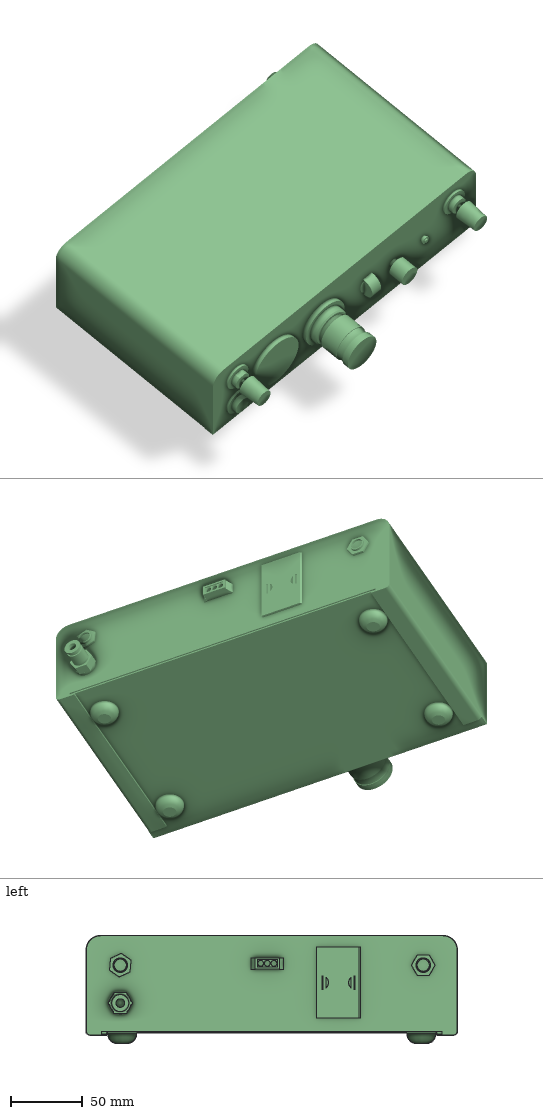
import cadquery as cq

CASE_DEPTH = 155.0
CASE_WIDTH = 258.5
CASE_HEIGHT = 69.5
TOP_RADIUS = 10.0
LIP_RADIUS = 3.0
LIP_WIDTH = 14.2
LIP_THICKNESS = 1.0
LIP_END = 146.5
FLOOR_Z = 1.8
FRONT_EDGE_RADIUS = 1.0

REAR_NOTCH_WIDTH = 237.2
REAR_NOTCH_TOP = 2.8
REAR_NOTCH_DEPTH = 1.0

FOOT_DIAMETER = 20.2
FOOT_DROP = 5.7
FOOT_SHOULDER_Z = 1.0
FOOT_TIP_DIAMETER = 9.3
FOOT_BULGE_DIAMETER = 17.3
FOOT_BULGE_Z = -3.0
FOOT_X = (25.8, 129.2)
FOOT_Y = 104.1

REAR_FITTING_Y = 105.5
REAR_NUT_Z = 48.8
REAR_NUT_CORNERS = 16.5
REAR_NUT_THICKNESS = 1.8
REAR_NUT_TURN = 25.0
REAR_BUSH_DIAMETER = 10.0
REAR_BUSH_BORE = 8.5
REAR_BUSH_LENGTH = 3.4

COUPLING_Z = 22.5
COUPLING_LENGTH = 22.7
COUPLING_DIAMETER = 12.0
COUPLING_BORE = 6.0
COUPLING_BORE_DEPTH = 7.8
COUPLING_GROOVE_DIAMETER = 10.0
COUPLING_GROOVE_START = 19.0
COUPLING_GROOVE_END = 21.0
COUPLING_HEX_CORNERS = 17.0
COUPLING_HEX_END = 9.0
COUPLING_WASHER_DIAMETER = 15.0
COUPLING_WASHER_LENGTH = 2.3

SOCKET_Y = 3.0
SOCKET_Z = 50.1
SOCKET_HEIGHT = 7.8
SOCKET_LENGTH = 7.2
SOCKET_WIDTH = 17.0
SOCKET_EAR_LENGTH = 6.0
SOCKET_EAR_WIDTH = 2.8
SOCKET_EAR_BOTTOM = 46.0
SOCKET_EAR_HEIGHT = 8.0
SOCKET_RECESS_WIDTH = 14.0
SOCKET_RECESS_HEIGHT = 5.2
SOCKET_RECESS_DEPTH = 0.8
SOCKET_PIN_HOLE = 4.1
SOCKET_PIN_PITCH = 4.7
SOCKET_PIN_DEPTH = 2.5

INLET_Y = -46.5
INLET_Z = 36.7
INLET_WIDTH = 30.5
INLET_HEIGHT = 49.4
INLET_THICKNESS = 1.8
INLET_CHAMFER = 1.0
GRIP_DEPTH = 0.8
GRIP_SLIT_OFFSET = 11.0
GRIP_SLIT_WIDTH = 0.8
GRIP_SLIT_HEIGHT = 9.3
GRIP_CHORD_OFFSET = 8.8
GRIP_CHORD_HEIGHT = 7.2
GRIP_TIP_OFFSET = 7.0

KNOB_Y = 106.5
KNOB_Z = 50.1
LOWER_BUSH_Z = 21.0
WASHER_DIAMETER = 20.2
WASHER_THICKNESS = 1.8
BUSH_DIAMETER = 13.0
BUSH_END = 6.2
BUSH_FLATS = 11.5
KNOB_STEM_DIAMETER = 3.0
KNOB_START = 10.9
KNOB_END = 27.5
KNOB_BASE_DIAMETER = 15.0
KNOB_TIP_DIAMETER = 13.0

CENTRE_Z = 34.4

LED_Y = 77.3
LED_STEM_DIAMETER = 5.0
LED_STEM_END = 1.3
LED_RIM_DIAMETER = 6.0
LED_RIM_END = 2.5
LED_TIP_DIAMETER = 3.0
LED_TIP_END = 3.5

DIAL_Y = 47.5
DIAL_STEM_DIAMETER = 7.0
DIAL_START = 4.1
DIAL_END = 16.5
DIAL_DIAMETER = 15.0

SWITCH_Y = 22.5
SWITCH_PLATE_DIAMETER = 15.0
SWITCH_PLATE_THICKNESS = 0.8
SWITCH_WIDTH = 8.5
SWITCH_RADIUS = 8.5

PLUG_Y = -22.5
PLUG_FLANGE_DIAMETER = 37.7
PLUG_FLANGE_END = 3.5
PLUG_COLLAR_DIAMETER = 30.0
PLUG_COLLAR_END = 9.8
PLUG_COLLAR_CHAMFER = 1.0
PLUG_NECK_DIAMETER = 24.0
PLUG_NECK_END = 13.7
PLUG_DIAMETER = 28.2
PLUG_BODY_END = 28.5
PLUG_WAIST_DIAMETER = 27.0
PLUG_WAIST_MIDDLE = 26.0
PLUG_WAIST_END = 34.5
PLUG_END = 39.8

COVER_Y = -70.3
COVER_DIAMETER = 43.0
COVER_THICKNESS = 3.5


def block(x_range, y_range, z_range):
    """Box between the given limits along each axis."""
    (x0, x1), (y0, y1), (z0, z1) = x_range, y_range, z_range
    return cq.Workplane("XY").box(x1 - x0, y1 - y0, z1 - z0, centered=False).translate((x0, y0, z0))


def front_plane(y, z, x=CASE_DEPTH):
    """Work plane facing +X, its local x along +Y and local y along +Z."""
    return cq.Workplane("YZ", origin=(x, y, z))


def rear_plane(y, z, x=0.0):
    """Work plane facing -X, its local x along -Y and local y along +Z."""
    return cq.Workplane(cq.Plane(origin=(x, y, z), xDir=(0, -1, 0), normal=(-1, 0, 0)))


def stepped_shaft(plane, steps):
    """Coaxial cylinders from the panel outward, each step given as (diameter, end distance)."""
    shaft = cq.Workplane("XY")
    start = 0.0
    for diameter, end in steps:
        shaft = shaft.union(plane.workplane(offset=start).circle(diameter / 2).extrude(end - start))
        start = end
    return shaft


def make_case():
    half_width = CASE_WIDTH / 2
    lip_edge = half_width - LIP_WIDTH
    full_width = (-half_width, half_width)

    shell = block((0, LIP_END), full_width, (0, CASE_HEIGHT)).edges("|X and <Z").fillet(LIP_RADIUS)
    front = block((LIP_END, CASE_DEPTH), full_width, (FLOOR_Z, CASE_HEIGHT))
    front = front.edges("|Y and >X and <Z").fillet(FRONT_EDGE_RADIUS)
    case = shell.union(front).edges("|X and >Z").fillet(TOP_RADIUS)

    case = case.cut(block((0, LIP_END), (-lip_edge, lip_edge), (0, FLOOR_Z)))
    notch_half = REAR_NOTCH_WIDTH / 2
    return case.cut(
        block((0, REAR_NOTCH_DEPTH), (-notch_half, notch_half), (LIP_THICKNESS, REAR_NOTCH_TOP))
    )


def make_foot(x, y):
    """Domed rubber foot with a flat tip, turned about its vertical axis."""
    profile = (
        cq.Workplane("XZ", origin=(x, y, 0))
        .moveTo(0, FLOOR_Z)
        .lineTo(FOOT_DIAMETER / 2, FLOOR_Z)
        .lineTo(FOOT_DIAMETER / 2, FOOT_SHOULDER_Z)
        .threePointArc((FOOT_BULGE_DIAMETER / 2, FOOT_BULGE_Z), (FOOT_TIP_DIAMETER / 2, -FOOT_DROP))
        .lineTo(0, -FOOT_DROP)
        .close()
    )
    return profile.revolve(360, (0, 0, 0), (0, 1, 0))


def make_rear_nut(y, turn):
    """Hexagon nut with a hollow threaded bush standing out of it."""
    plane = rear_plane(y, REAR_NUT_Z)
    nut = plane.transformed(rotate=(0, 0, turn)).polygon(6, REAR_NUT_CORNERS).extrude(REAR_NUT_THICKNESS)
    bush = plane.circle(REAR_BUSH_DIAMETER / 2).extrude(REAR_BUSH_LENGTH)
    bore = plane.workplane(offset=REAR_NUT_THICKNESS).circle(REAR_BUSH_BORE / 2).extrude(REAR_BUSH_LENGTH)
    return nut.union(bush).cut(bore)


def make_coupling():
    """Push-in coupling with a hexagon, a grooved barrel and a blind bore."""
    plane = rear_plane(REAR_FITTING_Y, COUPLING_Z)
    coupling = stepped_shaft(
        plane,
        [
            (COUPLING_WASHER_DIAMETER, COUPLING_WASHER_LENGTH),
            (COUPLING_DIAMETER, COUPLING_GROOVE_START),
            (COUPLING_GROOVE_DIAMETER, COUPLING_GROOVE_END),
            (COUPLING_DIAMETER, COUPLING_LENGTH),
        ],
    )
    hexagon = plane.workplane(offset=COUPLING_WASHER_LENGTH).polygon(6, COUPLING_HEX_CORNERS)
    coupling = coupling.union(hexagon.extrude(COUPLING_HEX_END - COUPLING_WASHER_LENGTH))
    bore = plane.workplane(offset=COUPLING_LENGTH).circle(COUPLING_BORE / 2).extrude(-COUPLING_BORE_DEPTH)
    return coupling.cut(bore)


def make_socket():
    """Three-pin socket with an ear at each end that slopes down to the panel."""
    socket = rear_plane(SOCKET_Y, SOCKET_Z).rect(SOCKET_WIDTH, SOCKET_HEIGHT).extrude(SOCKET_LENGTH)
    tip_offset = SOCKET_WIDTH / 2
    base_offset = tip_offset + SOCKET_EAR_WIDTH
    for side in (-1, 1):
        ear = (
            cq.Workplane("XY", origin=(0, SOCKET_Y, SOCKET_EAR_BOTTOM))
            .moveTo(0, side * tip_offset)
            .lineTo(-SOCKET_EAR_LENGTH, side * tip_offset)
            .lineTo(0, side * base_offset)
            .close()
            .extrude(SOCKET_EAR_HEIGHT)
        )
        socket = socket.union(ear)

    face = rear_plane(SOCKET_Y, SOCKET_Z, -SOCKET_LENGTH)
    recess = face.rect(SOCKET_RECESS_WIDTH, SOCKET_RECESS_HEIGHT).extrude(-SOCKET_RECESS_DEPTH)
    holes = face.rarray(SOCKET_PIN_PITCH, 2.5, 3, 1).circle(SOCKET_PIN_HOLE / 2).extrude(-SOCKET_PIN_DEPTH)
    return socket.cut(recess).cut(holes)


def make_inlet():
    """Flat cover plate with a slit and a rounded finger grip near each long edge."""
    plate = rear_plane(INLET_Y, INLET_Z).rect(INLET_WIDTH, INLET_HEIGHT).extrude(INLET_THICKNESS)
    plate = plate.edges("<X and <Y").chamfer(INLET_CHAMFER)
    face = rear_plane(INLET_Y, INLET_Z, -INLET_THICKNESS)
    chord_half = GRIP_CHORD_HEIGHT / 2
    for side in (-1, 1):
        slit = face.center(side * GRIP_SLIT_OFFSET, 0).rect(GRIP_SLIT_WIDTH, GRIP_SLIT_HEIGHT)
        plate = plate.cut(slit.extrude(-GRIP_DEPTH))
        grip = (
            face.moveTo(side * GRIP_CHORD_OFFSET, -chord_half)
            .threePointArc((side * GRIP_TIP_OFFSET, 0), (side * GRIP_CHORD_OFFSET, chord_half))
            .close()
        )
        plate = plate.cut(grip.extrude(-GRIP_DEPTH))
    return plate


def make_washer_and_bush(y, z):
    return stepped_shaft(front_plane(y, z), [(WASHER_DIAMETER, WASHER_THICKNESS), (BUSH_DIAMETER, BUSH_END)])


def make_knob(y):
    """Tapered knob on a thin stem."""
    plane = front_plane(y, KNOB_Z)
    stem = plane.circle(KNOB_STEM_DIAMETER / 2).extrude(KNOB_START)
    cap = plane.workplane(offset=KNOB_START).circle(KNOB_BASE_DIAMETER / 2)
    cap = cap.workplane(offset=KNOB_END - KNOB_START).circle(KNOB_TIP_DIAMETER / 2).loft()
    return stem.union(cap)


def make_flats_cutter(y):
    """Two slabs that leave the bush at height KNOB_Z with a flat above and below."""
    plane = front_plane(y, KNOB_Z, CASE_DEPTH + WASHER_THICKNESS)
    length = BUSH_END - WASHER_THICKNESS
    stock = plane.rect(BUSH_DIAMETER, BUSH_DIAMETER).extrude(length)
    return stock.cut(plane.rect(BUSH_DIAMETER, BUSH_FLATS).extrude(length))


def make_led():
    steps = [
        (LED_STEM_DIAMETER, LED_STEM_END),
        (LED_RIM_DIAMETER, LED_RIM_END),
        (LED_TIP_DIAMETER, LED_TIP_END),
    ]
    return stepped_shaft(front_plane(LED_Y, CENTRE_Z), steps)


def make_dial():
    steps = [(DIAL_STEM_DIAMETER, DIAL_START), (DIAL_DIAMETER, DIAL_END)]
    return stepped_shaft(front_plane(DIAL_Y, CENTRE_Z), steps)


def make_switch():
    """Rocker switch: a half-round rocker, its axis along Y, on a thin round plate."""
    plate = front_plane(SWITCH_Y, CENTRE_Z).circle(SWITCH_PLATE_DIAMETER / 2).extrude(SWITCH_PLATE_THICKNESS)
    rocker = (
        cq.Workplane("XZ", origin=(CASE_DEPTH + SWITCH_PLATE_THICKNESS, SWITCH_Y, CENTRE_Z))
        .moveTo(0, -SWITCH_RADIUS)
        .threePointArc((SWITCH_RADIUS, 0), (0, SWITCH_RADIUS))
        .lineTo(-SWITCH_PLATE_THICKNESS, SWITCH_RADIUS)
        .lineTo(-SWITCH_PLATE_THICKNESS, -SWITCH_RADIUS)
        .close()
        .extrude(SWITCH_WIDTH / 2, both=True)
    )
    return plate.union(rocker)


def make_plug():
    """Round plug turned about its own axis, with a neck behind and a concave waist near the end."""
    waist_middle_x = (PLUG_BODY_END + PLUG_WAIST_END) / 2
    profile = (
        cq.Workplane("XY", origin=(CASE_DEPTH, PLUG_Y, CENTRE_Z))
        .lineTo(0, PLUG_FLANGE_DIAMETER / 2)
        .lineTo(PLUG_FLANGE_END, PLUG_FLANGE_DIAMETER / 2)
        .lineTo(PLUG_FLANGE_END, PLUG_COLLAR_DIAMETER / 2)
        .lineTo(PLUG_COLLAR_END - PLUG_COLLAR_CHAMFER, PLUG_COLLAR_DIAMETER / 2)
        .lineTo(PLUG_COLLAR_END, PLUG_COLLAR_DIAMETER / 2 - PLUG_COLLAR_CHAMFER)
        .lineTo(PLUG_COLLAR_END, PLUG_NECK_DIAMETER / 2)
        .lineTo(PLUG_NECK_END, PLUG_NECK_DIAMETER / 2)
        .lineTo(PLUG_NECK_END, PLUG_DIAMETER / 2)
        .lineTo(PLUG_BODY_END, PLUG_DIAMETER / 2)
        .lineTo(PLUG_BODY_END, PLUG_WAIST_DIAMETER / 2)
        .threePointArc((waist_middle_x, PLUG_WAIST_MIDDLE / 2), (PLUG_WAIST_END, PLUG_WAIST_DIAMETER / 2))
        .lineTo(PLUG_WAIST_END, PLUG_DIAMETER / 2)
        .lineTo(PLUG_END, PLUG_DIAMETER / 2)
        .lineTo(PLUG_END, 0)
        .close()
    )
    return profile.revolve(360, (0, 0, 0), (1, 0, 0))


def make_cover():
    return front_plane(COVER_Y, CENTRE_Z).circle(COVER_DIAMETER / 2).extrude(COVER_THICKNESS)


result = make_case()

for foot_x in FOOT_X:
    for foot_y in (-FOOT_Y, FOOT_Y):
        result = result.union(make_foot(foot_x, foot_y))

result = result.union(make_rear_nut(REAR_FITTING_Y, REAR_NUT_TURN))
result = result.union(make_rear_nut(-REAR_FITTING_Y, 0))
result = result.union(make_coupling())
result = result.union(make_socket())
result = result.union(make_inlet())

result = result.union(make_washer_and_bush(KNOB_Y, KNOB_Z)).union(make_knob(KNOB_Y))
flatted_bush = make_washer_and_bush(-KNOB_Y, KNOB_Z).cut(make_flats_cutter(-KNOB_Y))
result = result.union(flatted_bush).union(make_knob(-KNOB_Y))
result = result.union(make_washer_and_bush(-KNOB_Y, LOWER_BUSH_Z))
result = result.union(make_led())
result = result.union(make_dial())
result = result.union(make_switch())
result = result.union(make_plug())
result = result.union(make_cover())